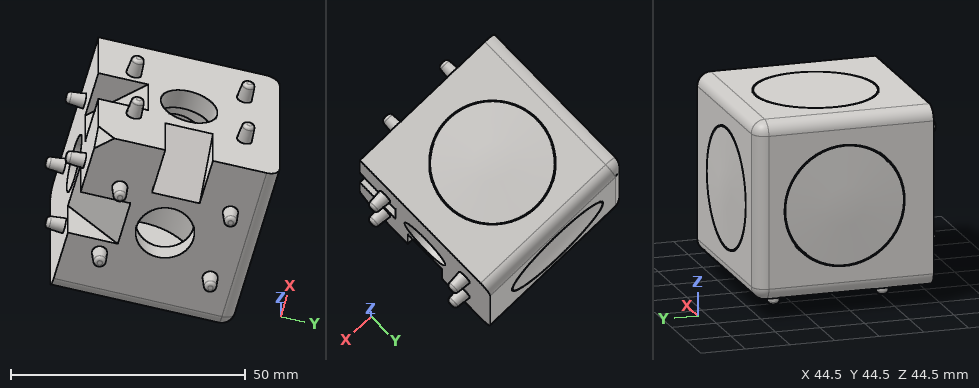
import cadquery as cq

overall_size = 44.5

block_side = 40.0
half_side = block_side / 2
edge_radius = 3.0
corner_cut = 3.5

notch_width = 10.5
notch_depth = 11.0

bore_diameter = 22.0
end_hole_diameter = 12.5
end_wall = 4.5

cap_diameter = 26.5
seat_diameter = 27.0
seat_depth = 3.0
apex_rise = 0.5

pin_length = overall_size - block_side - apex_rise
pin_base_diameter = 3.3
pin_end_diameter = 2.6
pin_tip_round = 0.8
pin_near_offset = 8.4
pin_far_offset = 12.2

capped_faces = [
    cq.Plane(origin=(-half_side, 0, 0), xDir=(0, 0, 1), normal=(-1, 0, 0)),
    cq.Plane(origin=(0, half_side, 0), xDir=(1, 0, 0), normal=(0, 1, 0)),
    cq.Plane(origin=(0, 0, half_side), xDir=(1, 0, 0), normal=(0, 0, 1)),
]

pin_faces = [
    cq.Plane(origin=(half_side, 0, 0), xDir=(0, 0, 1), normal=(1, 0, 0)),
    cq.Plane(origin=(0, -half_side, 0), xDir=(1, 0, 0), normal=(0, -1, 0)),
    cq.Plane(origin=(0, 0, -half_side), xDir=(1, 0, 0), normal=(0, 0, -1)),
]

notched_edges = [("XY", 1, -1), ("YZ", -1, -1), ("XZ", 1, -1)]


def make_block():
    """Cube with rounded edges, except around the +X and -Y faces."""
    block = cq.Workplane("XY").box(block_side, block_side, block_side)
    rounded_edges = "(<X and >Z) or (<X and >Y) or (<X and <Z) or (>Y and >Z) or (>Y and <Z)"
    return block.edges(rounded_edges).fillet(edge_radius)


def make_notch(plane_name, corner_x, corner_y):
    """Triangular prism across the middle of one edge."""
    x = corner_x * half_side
    y = corner_y * half_side
    return (
        cq.Workplane(plane_name)
        .polyline([(x, y), (x - corner_x * notch_depth, y), (x, y - corner_y * notch_depth)])
        .close()
        .extrude(notch_width / 2, both=True)
    )


def make_corner_cutter():
    """Tetrahedron that cuts the +X, -Y, -Z corner."""
    corner = cq.Vector(half_side, -half_side, -half_side)
    along_x = corner + cq.Vector(-corner_cut, 0, 0)
    along_y = corner + cq.Vector(0, corner_cut, 0)
    along_z = corner + cq.Vector(0, 0, corner_cut)
    triangles = [
        (corner, along_x, along_y),
        (corner, along_y, along_z),
        (corner, along_z, along_x),
        (along_x, along_y, along_z),
    ]
    faces = [cq.Face.makeFromWires(cq.Wire.makePolygon(points, close=True)) for points in triangles]
    return cq.Workplane(cq.Solid.makeSolid(cq.Shell.makeShell(faces)))


def make_bore(plane):
    """Cap seat, bore and end hole along one axis, right through the block."""
    seat = cq.Workplane(plane).circle(seat_diameter / 2).extrude(-seat_depth)
    bore = cq.Workplane(plane).circle(bore_diameter / 2).extrude(end_wall - block_side)
    end_hole = cq.Workplane(plane).circle(end_hole_diameter / 2).extrude(-block_side)
    return seat.union(bore).union(end_hole)


def make_pin():
    """Tapered pin with a rounded tip, standing on the XY plane."""
    profile = [(0, 0), (pin_base_diameter / 2, 0), (pin_end_diameter / 2, pin_length), (0, pin_length)]
    pin = cq.Workplane("XZ").polyline(profile).close().revolve(360, (0, 0), (0, 1))
    return pin.faces(">Z").edges().fillet(pin_tip_round).val()


def make_housing():
    """Hollow block with its notches, cut corner and pins."""
    housing = make_block()
    for plane_name, corner_x, corner_y in notched_edges:
        housing = housing.cut(make_notch(plane_name, corner_x, corner_y))
    housing = housing.cut(make_corner_cutter())
    for plane in capped_faces:
        housing = housing.cut(make_bore(plane))
    pin = make_pin()
    for plane in pin_faces:
        for x in (-pin_near_offset, pin_near_offset):
            for y in (-pin_far_offset, pin_far_offset):
                placed_pin = pin.moved(cq.Location(plane) * cq.Location((x, y, 0)))
                housing = housing.union(cq.Workplane(placed_pin))
    return housing


def make_cap(plane):
    """Disc resting on its seat floor, loose at the side, with a shallow cone that starts flush at the rim."""
    profile = [(0, -seat_depth), (cap_diameter / 2, -seat_depth), (cap_diameter / 2, 0), (0, apex_rise)]
    cap = cq.Workplane("XZ").polyline(profile).close().revolve(360, (0, 0), (0, 1))
    return cap.val().moved(cq.Location(plane))


housing = make_housing()
caps = [make_cap(plane) for plane in capped_faces]

result = cq.Compound.makeCompound([housing.val(), *caps])